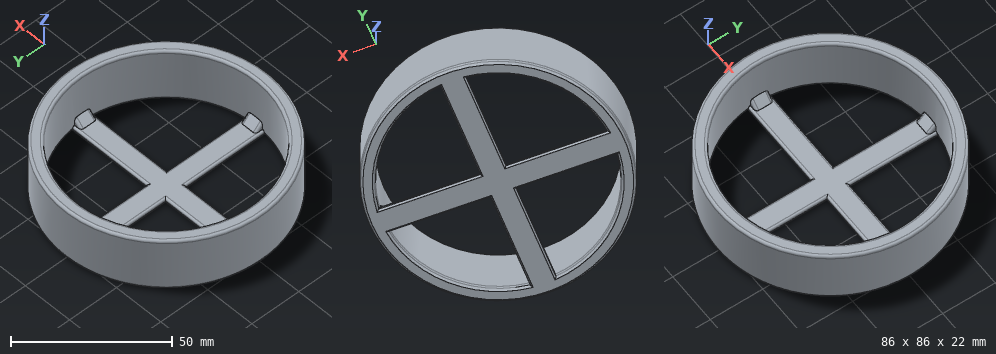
import cadquery as cq

outer_diameter = 86.0
inner_diameter = 76.0
ring_height = 22.0
edge_radius = 1.0
bottom_chamfer = 1.0

bar_width = 8.5
bar_thickness = 2.1
bar_edge_radius = 0.9
bar_chamfer = 0.6

gusset_length = 3.2
gusset_height = 3.0
gusset_width = bar_width - 2 * bar_edge_radius
gusset_edge_radius = 1.0

inner_radius = inner_diameter / 2
wall_thickness = (outer_diameter - inner_diameter) / 2
wall_middle = inner_radius + wall_thickness / 2


def make_ring():
    """Round wall, rounded at the top, with chamfers at the bottom that blend into both wall faces."""
    ring = cq.Workplane("XY").circle(outer_diameter / 2).circle(inner_radius).extrude(ring_height)
    ring = ring.faces(">Z").edges().fillet(edge_radius)
    ring = ring.faces("<Z").edges().chamfer(bottom_chamfer)
    chamfer_tops = cq.selectors.BoxSelector(
        (-outer_diameter, -outer_diameter, bottom_chamfer / 2),
        (outer_diameter, outer_diameter, bottom_chamfer * 3 / 2),
        boundingbox=True,
    )
    return ring.edges(chamfer_tops).fillet(edge_radius)


def make_bar():
    """Bar along X, rounded at the top and chamfered at the bottom, ending inside the wall."""
    bar = cq.Workplane("XY").box(2 * wall_middle, bar_width, bar_thickness, centered=(True, True, False))
    bar = bar.edges("|X and >Z").fillet(bar_edge_radius)
    return bar.edges("|X and <Z").chamfer(bar_chamfer)


def make_gusset():
    """Sloped block at the +X bar end, rounded along both sides of its slope."""
    toe = inner_radius - gusset_length
    top = bar_thickness + gusset_height
    profile = [
        (toe, bar_thickness),
        (inner_radius, top),
        (wall_middle, top),
        (wall_middle, bar_thickness / 2),
        (toe, bar_thickness / 2),
    ]
    gusset = cq.Workplane("XZ").polyline(profile).close().extrude(gusset_width / 2, both=True)
    slope_middle = (inner_radius - gusset_length / 2, bar_thickness + gusset_height / 2)
    for side in (-1, 1):
        edge_point = (slope_middle[0], side * gusset_width / 2, slope_middle[1])
        gusset = gusset.edges(cq.selectors.NearestToPointSelector(edge_point)).fillet(gusset_edge_radius)
    return gusset


def turned(shape, angle):
    return shape.rotate((0, 0, 0), (0, 0, 1), angle)


result = make_ring()
bar = make_bar()
for angle in (0, 90):
    result = result.union(turned(bar, angle))
gusset = make_gusset()
for angle in (0, 90, 180, 270):
    result = result.union(turned(gusset, angle))